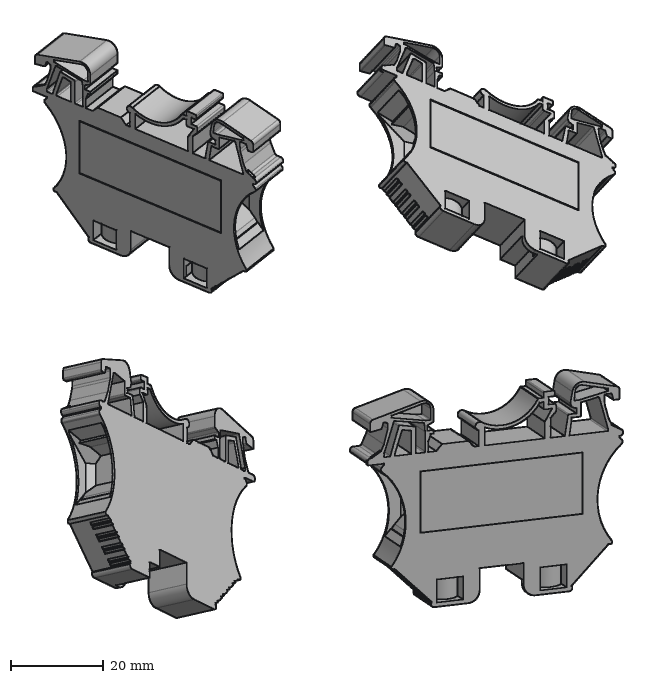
import math

import cadquery as cq

THICKNESS = 10.0
FRONT = -THICKNESS / 2
BACK = THICKNESS / 2
MID = 0.0

DECK = 35.2
FLANGE_BOTTOM = 33.75
FLANGE_TOP = 35.3
FLANGE_LEFT = -31.5
FLANGE_RIGHT = 28.5
FLANGE_ROUND = 0.77
LEG_ROOT = 34.5
CORNER = 0.25
LEG_FOOT_RADIUS = 0.7

PLATFORM_TOP = 36.65
WAIST_X = 22.5
WAIST_Z = 20.3
SHOULDER = (28.1, 31.9)
HIP = (25.95, 10.25)
SLOPE_TOP = (25.1, 9.65)
SLOPE_BOTTOM = (16.4, 1.2)
FOOT_X = 16.6
FOOT_RADIUS = 0.8
RAIL_HALF_WIDTH = 5.15
RAIL_DEPTH = 7.6
RAIL_ENTRY_RADIUS = 2.75

UNDERCUT_END_X = 9.0
UNDERCUT_TOP = 3.6
UNDERCUT_CHEEK = 1.1

LABEL_HALF_LENGTH = 19.0
LABEL_BOTTOM = 17.15
LABEL_TOP = 31.0
LABEL_DEPTH = 0.2

POCKET_X = 12.15
POCKET_WIDTH = 6.15
POCKET_BOTTOM = 1.0
POCKET_TOP = 6.2
POCKET_DEPTH = 2.9
PIN_RADIUS = 4.0
PIN_Y = 0.6

ARCH_CENTRE = (0.0, 49.0)
ARCH_TOP_RADIUS = 9.7
ARCH_BOTTOM_RADIUS = 10.55
BEAD_CENTRE = (-5.25, 39.7)
BEAD_DIAMETER = 1.9

FUNNEL_MOUTH_X = -30.0
FUNNEL_TAPER_X = -19.8
FUNNEL_END_X = -18.0
FUNNEL_HALF_WIDTH = 4.45
FUNNEL_END_BACK = 3.65
FUNNEL_END_FRONT = -3.0
FUNNEL_END_FLOOR = 20.15
FUNNEL_FLOOR_SLOPE = 1.04
FUNNEL_END_CEILING = 26.7
CEILING_START = (-27.4, 30.9)
CEILING_STEP_X = -23.3
CEILING_STEP_TOP = 29.0
CEILING_STEP_BOTTOM = 28.5
CEILING_BEND = (-21.0, 28.1)
BEVEL_TOP_BACK = 2.35
BEVEL_TOP_FRONT = -1.65
BEVEL_BOTTOM_Z = 25.2
FLOOR_GROOVE_TOP = 16.85
FLOOR_GROOVE_BOTTOM = 15.9
FLOOR_GROOVE_DEPTH = 0.15
FLOOR_GROOVE_FRONT = -4.15

GRIP_PAIRS = 4
GROOVES_PER_PAIR = 2
GRIP_PITCH = 2.17
GRIP_FIRST_Z = 9.15
GRIP_PAIR_SPACING = 0.75
GRIP_HEIGHT = 0.5

FLANGE_RIB_THICKNESS = 0.7


def direction(start, end):
    length = math.dist(start, end)
    return ((end[0] - start[0]) / length, (end[1] - start[1]) / length)


def round_corner(before, corner, after, radius):
    """Return the start, middle and end of the arc that rounds a corner."""
    back = direction(corner, before)
    ahead = direction(corner, after)
    half_angle = math.acos(back[0] * ahead[0] + back[1] * ahead[1]) / 2
    tangent = radius / math.tan(half_angle)
    bisector = direction((0, 0), (back[0] + ahead[0], back[1] + ahead[1]))
    to_middle = radius / math.sin(half_angle) - radius
    return [
        (corner[0] + back[0] * tangent, corner[1] + back[1] * tangent),
        (corner[0] + bisector[0] * to_middle, corner[1] + bisector[1] * to_middle),
        (corner[0] + ahead[0] * tangent, corner[1] + ahead[1] * tangent),
    ]


def prism(corners, front=FRONT, back=BACK):
    """Extrude an X-Z outline along Y. A corner is (x, z) or, when rounded, (x, z, radius)."""
    points = [corner[:2] for corner in corners]
    path = []
    for index, corner in enumerate(corners):
        if len(corner) == 2:
            path.append([corner])
        else:
            after = points[(index + 1) % len(points)]
            path.append(round_corner(points[index - 1], points[index], after, corner[2]))
    sketch = cq.Workplane("XZ", origin=(0, back, 0)).moveTo(*path[0][-1])
    for stretch in path[1:] + path[:1]:
        sketch = sketch.lineTo(*stretch[0])
        if len(stretch) == 3:
            sketch = sketch.threePointArc(stretch[1], stretch[2])
    return sketch.close().extrude(back - front)


def cylinder_y(centre, radius):
    plane = cq.Workplane("XZ", origin=(0, BACK, 0))
    return plane.center(*centre).circle(radius).extrude(THICKNESS)


def mirrored(shape):
    return shape.mirror("YZ")


def body():
    half = [
        (0, RAIL_DEPTH),
        (-RAIL_HALF_WIDTH, RAIL_DEPTH),
        (-RAIL_HALF_WIDTH, 0, RAIL_ENTRY_RADIUS),
        (-FOOT_X, 0, FOOT_RADIUS),
        (-FOOT_X, SLOPE_BOTTOM[1] - CORNER),
        (-SLOPE_BOTTOM[0], SLOPE_BOTTOM[1]),
        (-SLOPE_TOP[0], SLOPE_TOP[1]),
        (-HIP[0], 9.5, 0.45),
        (-HIP[0], HIP[1]),
        (-SHOULDER[0], SHOULDER[1]),
        (-28.6, 32.45, 0.6),
        (-27.65, 33.5),
        (-27.65, DECK),
        (0, DECK),
    ]
    waist = (
        cq.Workplane("XZ", origin=(0, BACK, 0))
        .moveTo(-HIP[0], HIP[1])
        .threePointArc((-WAIST_X, WAIST_Z), (-SHOULDER[0], SHOULDER[1]))
        .close()
        .extrude(THICKNESS)
    )
    left = prism(half).cut(waist)
    platform = prism(
        [
            (-15.4, LEG_ROOT),
            (-15.4, DECK),
            (-14.0, PLATFORM_TOP),
            (-7.8, PLATFORM_TOP),
            (-6.4, DECK),
            (-6.4, LEG_ROOT),
        ]
    )
    return left.union(mirrored(left)).union(platform)


def rail_undercut():
    return prism(
        [
            (0, 0),
            (UNDERCUT_END_X, 0),
            (UNDERCUT_END_X, UNDERCUT_TOP),
            (0, UNDERCUT_TOP),
        ],
        FRONT + UNDERCUT_CHEEK,
        BACK,
    )


def left_head():
    outline = [
        (-17.25, LEG_ROOT),
        (-27.65, LEG_ROOT),
        (-27.65, FLANGE_BOTTOM),
        (FLANGE_LEFT, FLANGE_BOTTOM, FLANGE_ROUND),
        (FLANGE_LEFT, FLANGE_TOP, FLANGE_ROUND),
        (-28.95, FLANGE_TOP, LEG_FOOT_RADIUS),
        (-27.65, 38.1),
        (-26.75, 41.6),
        (-26.75, 42.75, 0.4),
        (-27.75, 43.15, 0.3),
        (-28.2, 41.65, 0.4),
        (-30.9, 41.2, 0.15),
        (-30.9, 43.8, 0.9),
        (-16.0, 47.61, 2.4),
        (-16.0, 41.9, 0.3),
        (-17.45, 41.2, 0.3),
        (-17.45, 40.05),
        (-16.0, 40.05),
        (-16.0, 39.2),
        (-16.65, 39.2),
        (-17.25, 37.6),
    ]
    channel = [
        (-25.3, 43.15, 0.3),
        (-18.2, 41.9, 0.4),
        (-18.0, 39.9),
        (-18.0, DECK, CORNER),
        (-20.15, DECK, CORNER),
        (-20.15, 41.25, CORNER),
        (-24.1, 42.05, CORNER),
        (-26.2, DECK, CORNER),
        (-27.65, DECK, CORNER),
        (-27.65, 36.0),
    ]
    window = [
        (-23.4, 40.95, 0.4),
        (-21.2, 40.45, CORNER),
        (-21.2, DECK),
        (-25.2, DECK, CORNER),
        (-25.0, 36.0),
    ]
    pocket = [
        (-25.8, 44.4),
        (-25.8, 43.9),
        (-17.9, 42.4),
        (-16.7, 42.4, 0.15),
        (-16.7, 46.75, 1.4),
    ]
    rib = [
        (FLANGE_LEFT, FLANGE_BOTTOM, 0.2),
        (FLANGE_LEFT, 34.8, 0.3),
        (-27.9, 36.9),
        (-27.65, FLANGE_BOTTOM),
    ]
    head = prism(outline).cut(prism(channel)).cut(prism(window))
    head = head.cut(prism(pocket, FRONT, MID))
    return head.union(prism(rib, FRONT, FRONT + FLANGE_RIB_THICKNESS))


def right_head():
    outline = [
        (14.8, LEG_ROOT),
        (14.8, DECK),
        (15.6, 40.0, CORNER),
        (17.55, 40.0),
        (17.55, 41.15),
        (16.45, 41.55, 0.5),
        (16.1, 42.5, 0.4),
        (17.05, 47.56, 2.4),
        (27.7, 44.85, 0.9),
        (27.7, 42.05, 0.4),
        (26.25, 42.05),
        (25.8, 43.6, 0.3),
        (24.1, 43.6, 0.4),
        (24.2, 41.3, 3.0),
        (25.1, 38.1),
        (26.4, FLANGE_TOP, LEG_FOOT_RADIUS),
        (FLANGE_RIGHT, FLANGE_TOP, FLANGE_ROUND),
        (FLANGE_RIGHT, FLANGE_BOTTOM, FLANGE_ROUND),
        (27.65, FLANGE_BOTTOM),
        (27.65, LEG_ROOT),
    ]
    window = [
        (18.65, 42.35),
        (22.85, 43.2, 0.5),
        (25.1, DECK, CORNER),
        (15.9, DECK),
        (16.45, 39.15),
        (18.65, 39.15, 0.4),
    ]
    pocket = [
        (25.0, 44.8),
        (25.0, 44.25),
        (18.0, 42.95),
        (17.0, 42.95, 0.15),
        (17.4, 46.65, 1.4),
    ]
    rib = [
        (28.2, LEG_ROOT),
        (28.2, 34.9),
        (27.65, 35.45),
        (25.5, 36.6),
        (25.3, LEG_ROOT),
    ]
    head = prism(outline).cut(prism(window)).cut(prism(pocket, FRONT, MID))
    return head.union(prism(rib, FRONT, FRONT + FLANGE_RIB_THICKNESS))


def arch():
    left_post = [(-5.4, LEG_ROOT), (-5.4, 39.7), (-3.95, 39.7), (-3.95, LEG_ROOT)]
    clip = [
        (10.1, LEG_ROOT),
        (10.1, 38.95),
        (11.8, 41.75),
        (9.8, 41.75, 0.3),
        (9.8, 43.4),
        (8.9, 43.4),
        (8.5, 44.3),
        (8.6, 44.4),
        (9.8, 44.4),
        (9.8, 45.75, CORNER),
        (12.4, 45.75, CORNER),
        (12.4, 44.45, CORNER),
        (11.05, 44.45),
        (11.05, 42.75),
        (12.75, 42.75, 0.4),
        (12.75, 41.0),
        (11.45, 39.65),
        (11.45, LEG_ROOT),
    ]
    span = [ARCH_CENTRE, (-5.0, 40.0), (-4.2, 37.0), (5.0, 36.0), (11.0, 38.0), (11.0, 42.95)]
    ring = cylinder_y(ARCH_CENTRE, ARCH_BOTTOM_RADIUS).intersect(prism(span))
    hollow = cylinder_y(ARCH_CENTRE, ARCH_TOP_RADIUS).intersect(prism(span))
    curve = ring.union(prism(clip)).cut(hollow)
    bead = cylinder_y(BEAD_CENTRE, BEAD_DIAMETER / 2)
    return curve.union(prism(left_post)).union(bead)


def label_recess():
    return prism(
        [
            (-LABEL_HALF_LENGTH, LABEL_BOTTOM),
            (LABEL_HALF_LENGTH, LABEL_BOTTOM),
            (LABEL_HALF_LENGTH, LABEL_TOP),
            (-LABEL_HALF_LENGTH, LABEL_TOP),
        ],
        FRONT,
        FRONT + LABEL_DEPTH,
    )


def foot_pocket(centre_x):
    height = POCKET_TOP - POCKET_BOTTOM
    opening = (
        cq.Workplane("XY", origin=(centre_x, FRONT + POCKET_DEPTH / 2, POCKET_BOTTOM))
        .rect(POCKET_WIDTH, POCKET_DEPTH)
        .extrude(height)
    )
    pin = cq.Workplane("XY", origin=(centre_x, PIN_Y, POCKET_BOTTOM)).circle(PIN_RADIUS).extrude(height)
    return opening.cut(pin)


def beyond_plane(on_edge, first, second):
    """Return a block on the upper side of the plane through three points."""
    edge = cq.Vector(*on_edge)
    normal = (cq.Vector(*first) - edge).cross(cq.Vector(*second) - edge)
    if normal.z < 0:
        normal = normal * -1
    size = 60.0
    return cq.Workplane(cq.Plane(origin=on_edge, normal=normal.toTuple())).rect(size, size).extrude(size)


def wire_funnel():
    mouth_floor = FUNNEL_END_FLOOR - FUNNEL_FLOOR_SLOPE * (FUNNEL_END_X - FUNNEL_MOUTH_X)
    profile = prism(
        [
            (FUNNEL_MOUTH_X, mouth_floor),
            (FUNNEL_END_X, FUNNEL_END_FLOOR),
            (FUNNEL_END_X, FUNNEL_END_CEILING),
            CEILING_BEND,
            (CEILING_STEP_X, CEILING_STEP_BOTTOM),
            (CEILING_STEP_X, CEILING_STEP_TOP),
            CEILING_START,
            (FUNNEL_MOUTH_X, CEILING_START[1]),
        ]
    )
    plan = (
        cq.Workplane("XY")
        .polyline(
            [
                (FUNNEL_MOUTH_X, -FUNNEL_HALF_WIDTH),
                (FUNNEL_TAPER_X, -FUNNEL_HALF_WIDTH),
                (FUNNEL_END_X, FUNNEL_END_FRONT),
                (FUNNEL_END_X, FUNNEL_END_BACK),
                (FUNNEL_TAPER_X, FUNNEL_HALF_WIDTH),
                (FUNNEL_MOUTH_X, FUNNEL_HALF_WIDTH),
            ]
        )
        .close()
        .extrude(DECK)
    )
    funnel = profile.intersect(plan)
    sides = [
        (FUNNEL_HALF_WIDTH, BEVEL_TOP_BACK, FUNNEL_END_BACK),
        (-FUNNEL_HALF_WIDTH, BEVEL_TOP_FRONT, FUNNEL_END_FRONT),
    ]
    for mouth_y, top_y, bottom_y in sides:
        funnel = funnel.cut(
            beyond_plane(
                (CEILING_START[0], mouth_y, CEILING_START[1]),
                (FUNNEL_END_X, top_y, FUNNEL_END_CEILING),
                (FUNNEL_END_X, bottom_y, BEVEL_BOTTOM_Z),
            )
        )
    groove_top_x = FUNNEL_END_X - (FUNNEL_END_FLOOR - FLOOR_GROOVE_TOP) / FUNNEL_FLOOR_SLOPE
    groove_bottom_x = FUNNEL_END_X - (FUNNEL_END_FLOOR - FLOOR_GROOVE_BOTTOM) / FUNNEL_FLOOR_SLOPE
    groove = prism(
        [
            (groove_top_x, FLOOR_GROOVE_TOP),
            (groove_bottom_x, FLOOR_GROOVE_BOTTOM),
            (groove_bottom_x + FLOOR_GROOVE_DEPTH, FLOOR_GROOVE_BOTTOM),
        ],
        FLOOR_GROOVE_FRONT,
        FUNNEL_HALF_WIDTH,
    )
    return funnel.union(groove)


def grip_groove(top_z):
    """Return a V groove, cut level into the slope, with an upward-facing lower wall."""
    slope = (SLOPE_TOP[0] - SLOPE_BOTTOM[0]) / (SLOPE_TOP[1] - SLOPE_BOTTOM[1])
    top_x = -SLOPE_BOTTOM[0] - slope * (top_z - SLOPE_BOTTOM[1])
    bottom_x = top_x + slope * GRIP_HEIGHT
    root = (bottom_x + GRIP_HEIGHT / 2, top_z - GRIP_HEIGHT / 2)
    return prism([(top_x, top_z), root, (bottom_x, top_z - GRIP_HEIGHT)], MID, BACK)


result = body().union(left_head()).union(right_head()).union(arch())
result = result.cut(label_recess()).cut(rail_undercut())

for pocket_x in (-POCKET_X, POCKET_X):
    result = result.cut(foot_pocket(pocket_x))

for pair in range(GRIP_PAIRS):
    for groove_index in range(GROOVES_PER_PAIR):
        groove_z = GRIP_FIRST_Z - pair * GRIP_PITCH - groove_index * GRIP_PAIR_SPACING
        groove_cut = grip_groove(groove_z)
        result = result.cut(groove_cut).cut(mirrored(groove_cut))

funnel_cut = wire_funnel()
result = result.cut(funnel_cut).cut(mirrored(funnel_cut))